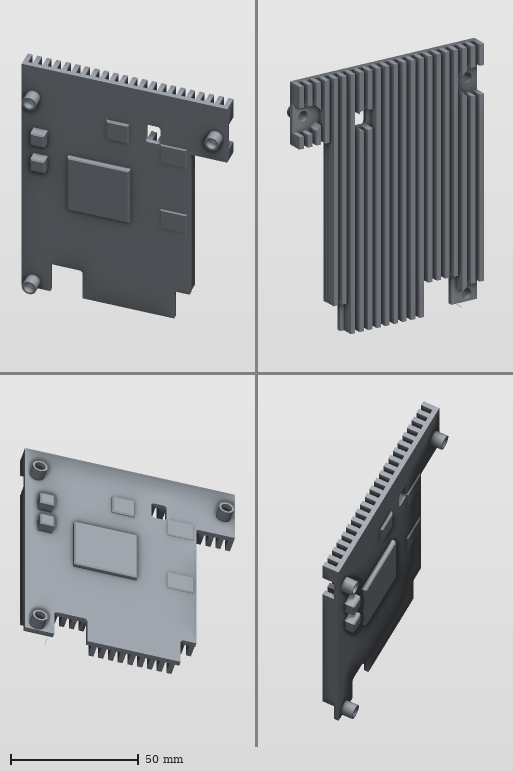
import cadquery as cq

width = 86.0
height = 110.0
lower_right_x = 70.3
step_z = 83.4
step_fillet = 1.0

base_thickness = 2.0
fin_height = 5.1
fin_count = 22
fin_width = width / (2 * fin_count - 1)
fin_pitch = 2 * fin_width
body_depth = base_thickness + fin_height

notch_left_x = 12.0
notch_right_x = 25.5
tab_right_x = 63.8
notch_top_z = 13.5
notch_fillet = 1.4
fin_notch_clearance = 0.5

window_fin_index = 14
window_left_x = 51.8
window_right_x = window_fin_index * fin_pitch + fin_width
window_bottom_z = 84.9
window_top_z = 93.5
window_fillet = 1.2

standoff_diameter = 6.0
standoff_bore = 4.4
standoff_length = 5.0
standoff_inset = 4.8
standoff_low_z = 3.3
standoff_high_z = 94.8
clearance_radius = 6.0

small_chip_size = 5.9
small_chip_x = 5.1
memory_chip_x = window_right_x
memory_chip_width = 11.2
memory_chip_height = 9.4
square_chip_size = 9.5
processor_size = 26.0
chips = [
    (small_chip_x, 61.0, small_chip_size, small_chip_size, 4.3, 0.5),
    (small_chip_x, 73.8, small_chip_size, small_chip_size, 4.3, 0.5),
    (memory_chip_x, 43.7, memory_chip_width, memory_chip_height, 0.5, 0.4),
    (memory_chip_x, 76.0, memory_chip_width, memory_chip_height, 0.5, 0.4),
    (35.5, 82.2, square_chip_size, square_chip_size, 1.0, 0.7),
    (19.7, 43.8, processor_size, processor_size, 2.0, 0.5),
]


def block(x_min, x_max, y_min, y_max, z_min, z_max):
    """Box between the given coordinates."""
    size = (x_max - x_min, y_max - y_min, z_max - z_min)
    return cq.Workplane("XY").box(*size, centered=False).translate((x_min, y_min, z_min))


def cylinder(x, z, diameter, y_min, y_max):
    """Round bar along Y."""
    disc = cq.Workplane("XZ", origin=(0, y_max, 0)).center(x, z).circle(diameter / 2)
    return disc.extrude(y_max - y_min)


def make_body():
    """Full-depth plate with the stepped and notched outline."""
    outline = [
        (0, 0),
        (notch_left_x, 0),
        (notch_left_x, notch_top_z),
        (notch_right_x, notch_top_z),
        (notch_right_x, 0),
        (tab_right_x, 0),
        (tab_right_x, notch_top_z),
        (lower_right_x, notch_top_z),
        (lower_right_x, step_z),
        (width, step_z),
        (width, height),
        (0, height),
    ]
    body = cq.Workplane("XZ").polyline(outline).close().extrude(-body_depth)

    middle_y = body_depth / 2
    for x in (notch_left_x, notch_right_x, tab_right_x):
        corner = cq.selectors.NearestToPointSelector((x, middle_y, notch_top_z))
        body = body.edges("|Y").edges(corner).fillet(notch_fillet)
    step_corner = cq.selectors.NearestToPointSelector((lower_right_x, middle_y, step_z))
    return body.edges("|Y").edges(step_corner).fillet(step_fillet)


def cut_fin_gaps(body):
    """Vertical channels that leave the fins standing on the board."""
    for index in range(fin_count - 1):
        gap_x = index * fin_pitch + fin_width
        body = body.cut(block(gap_x, gap_x + fin_width, base_thickness, body_depth, 0, height))
    return body


def cut_window(body):
    """Rounded window through board and fins."""
    window = block(window_left_x, window_right_x, 0, body_depth, window_bottom_z, window_top_z)
    return body.cut(window.edges("|Y").fillet(window_fillet))


def cut_notch_clearance(body):
    """Fin-side widening of the lower notch."""
    return body.cut(block(
        notch_left_x - fin_notch_clearance, notch_right_x + fin_notch_clearance,
        base_thickness, body_depth,
        0, notch_top_z + fin_notch_clearance,
    ))


def standoff_clearance(x, z, side_x):
    """Round-ended slot in the fins, open to the nearer side of the board."""
    round_end = cylinder(x, z, 2 * clearance_radius, base_thickness, body_depth)
    return round_end.union(block(
        min(x, side_x), max(x, side_x),
        base_thickness, body_depth,
        z - clearance_radius, z + clearance_radius,
    ))


def make_chip(x, z, size_x, size_z, protrusion, chamfer):
    """Rectangular chip with chamfered outer edges."""
    chip = block(x, x + size_x, -protrusion, 0, z, z + size_z)
    return chip.faces("<Y").edges().chamfer(chamfer)


result = cut_notch_clearance(cut_window(cut_fin_gaps(make_body())))

for chip in chips:
    result = result.union(make_chip(*chip))

standoffs = [
    (standoff_inset, standoff_low_z, 0),
    (standoff_inset, standoff_high_z, 0),
    (width - standoff_inset, standoff_high_z, width),
]
for x, z, side_x in standoffs:
    result = result.cut(standoff_clearance(x, z, side_x))
    result = result.union(cylinder(x, z, standoff_diameter, -standoff_length, 0))
    result = result.cut(cylinder(x, z, standoff_bore, -standoff_length, body_depth))